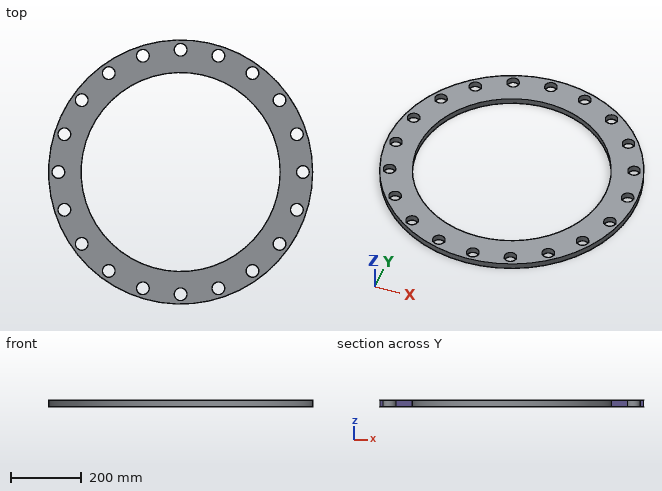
import cadquery as cq

outer_diameter = 749.0
bore_diameter = 563.0
thickness = 19.0

bolt_count = 20
bolt_circle_diameter = 693.0
bolt_hole_diameter = 35.0


def ring_plate():
    """Flat ring standing on the XY plane and centred on the Z axis."""
    return (
        cq.Workplane("XY")
        .circle(outer_diameter / 2)
        .circle(bore_diameter / 2)
        .extrude(thickness)
    )


def drill_bolt_holes(plate):
    """Cut evenly spaced through holes on the bolt circle."""
    return (
        plate.faces(">Z")
        .workplane()
        .polarArray(bolt_circle_diameter / 2, 0, 360, bolt_count)
        .hole(bolt_hole_diameter)
    )


result = drill_bolt_holes(ring_plate())